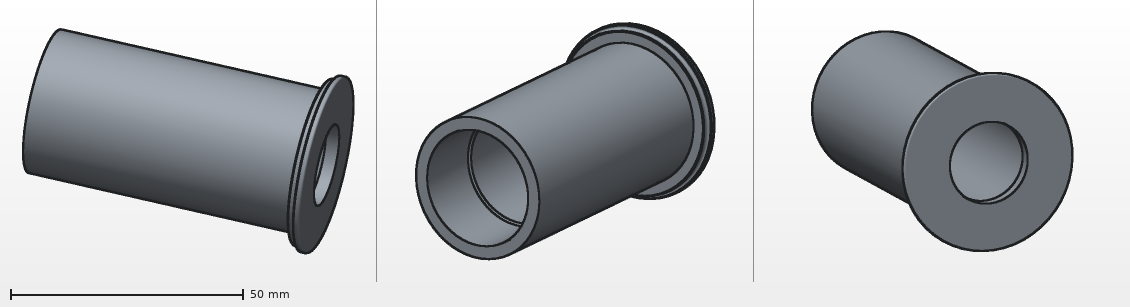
import cadquery as cq

LENGTH = 63.5
SMALL_RIM_START = 60.5
LARGE_RIM_START = 62.0

TUBE_RADIUS = 31.75 / 2
SMALL_RIM_RADIUS = 37.0 / 2
LARGE_RIM_RADIUS = 39.0 / 2
RIM_CHAMFER = 0.2
CORNER_FILLET = 0.4
END_FILLET = 0.4

MOUTH_RADIUS = 26.0 / 2
BORE_RADIUS = 25.0 / 2
OUTLET_RADIUS = 18.0 / 2
MOUTH_DEPTH = 16.0
MOUTH_TAPER_LENGTH = MOUTH_RADIUS - BORE_RADIUS
OUTLET_TAPER_LENGTH = BORE_RADIUS - OUTLET_RADIUS
OUTLET_START = SMALL_RIM_START


def revolve_about_x(outline):
    """Close a half outline drawn in the XZ plane and turn it fully about the X axis."""
    return outline.close().revolve(360, (0, 0, 0), (1, 0, 0))


def outer_body():
    """Solid tube and two-step rim with chamfered leading edges, a rounded corner and a rounded end."""
    outline = (
        cq.Workplane("XZ")
        .lineTo(0, TUBE_RADIUS)
        .lineTo(SMALL_RIM_START, TUBE_RADIUS)
        .lineTo(SMALL_RIM_START, SMALL_RIM_RADIUS - RIM_CHAMFER)
        .line(RIM_CHAMFER, RIM_CHAMFER)
        .lineTo(LARGE_RIM_START - CORNER_FILLET, SMALL_RIM_RADIUS)
        .radiusArc((LARGE_RIM_START, SMALL_RIM_RADIUS + CORNER_FILLET), -CORNER_FILLET)
        .lineTo(LARGE_RIM_START, LARGE_RIM_RADIUS - RIM_CHAMFER)
        .line(RIM_CHAMFER, RIM_CHAMFER)
        .lineTo(LENGTH - END_FILLET, LARGE_RIM_RADIUS)
        .radiusArc((LENGTH, LARGE_RIM_RADIUS - END_FILLET), END_FILLET)
        .lineTo(LENGTH, 0)
    )
    return revolve_about_x(outline)


def stepped_bore():
    """Through passage: wide mouth, short taper, main bore, longer taper and straight outlet."""
    outline = (
        cq.Workplane("XZ")
        .lineTo(0, MOUTH_RADIUS)
        .lineTo(MOUTH_DEPTH, MOUTH_RADIUS)
        .lineTo(MOUTH_DEPTH + MOUTH_TAPER_LENGTH, BORE_RADIUS)
        .lineTo(OUTLET_START - OUTLET_TAPER_LENGTH, BORE_RADIUS)
        .lineTo(OUTLET_START, OUTLET_RADIUS)
        .lineTo(LENGTH, OUTLET_RADIUS)
        .lineTo(LENGTH, 0)
    )
    return revolve_about_x(outline)


result = outer_body().cut(stepped_bore())